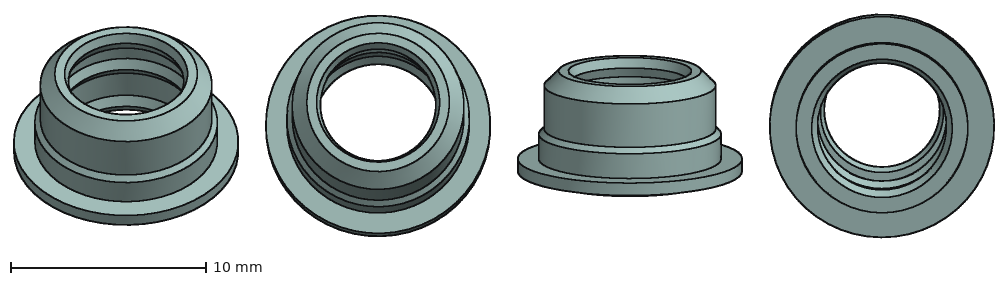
import cadquery as cq

flange_dia = 11.5
collar_dia = 9.35
body_dia = 8.8

height = 5.6
flange_bottom = 0.35
flange_top = 1.0
collar_edge = 2.3
collar_chamfer = (collar_dia - body_dia) / 2
nose_chamfer = 0.75

bore_dia = 7.2
rib_dia = 6.6
mouth_dia = 6.3
throat_dia = 5.9

slope_height = 0.5
lower_rib_level = slope_height
upper_rib_level = 3.0
throat_level = height - slope_height
groove_top = throat_level - slope_height


def revolve_profile(stations):
    """Solid of revolution about Z, bounded by (diameter, height) stations from the base up."""
    outline = [(0, stations[0][1])]
    outline += [(diameter / 2, level) for diameter, level in stations]
    outline.append((0, stations[-1][1]))
    return cq.Workplane("XZ").polyline(outline).close().revolve(360, (0, 0, 0), (0, 1, 0))


def rib_stations(level):
    """V-shaped rib whose crest stands inward from the bore at the given height."""
    return [
        (bore_dia, level - slope_height),
        (rib_dia, level),
        (bore_dia, level + slope_height),
    ]


def make_shell():
    """Flanged outside form with a chamfered collar and nose."""
    return revolve_profile([
        (body_dia, 0),
        (body_dia, flange_bottom),
        (flange_dia, flange_bottom),
        (flange_dia, flange_top),
        (collar_dia, flange_top),
        (collar_dia, collar_edge),
        (body_dia, collar_edge + collar_chamfer),
        (body_dia, height - nose_chamfer),
        (body_dia - 2 * nose_chamfer, height),
    ])


def make_cavity():
    """Through opening: bore with two ribs, then a ledge up to a throat flared both ways."""
    return revolve_profile([
        *rib_stations(lower_rib_level),
        *rib_stations(upper_rib_level),
        (bore_dia, groove_top),
        (mouth_dia, groove_top),
        (throat_dia, throat_level),
        (mouth_dia, height),
    ])


result = make_shell().cut(make_cavity())